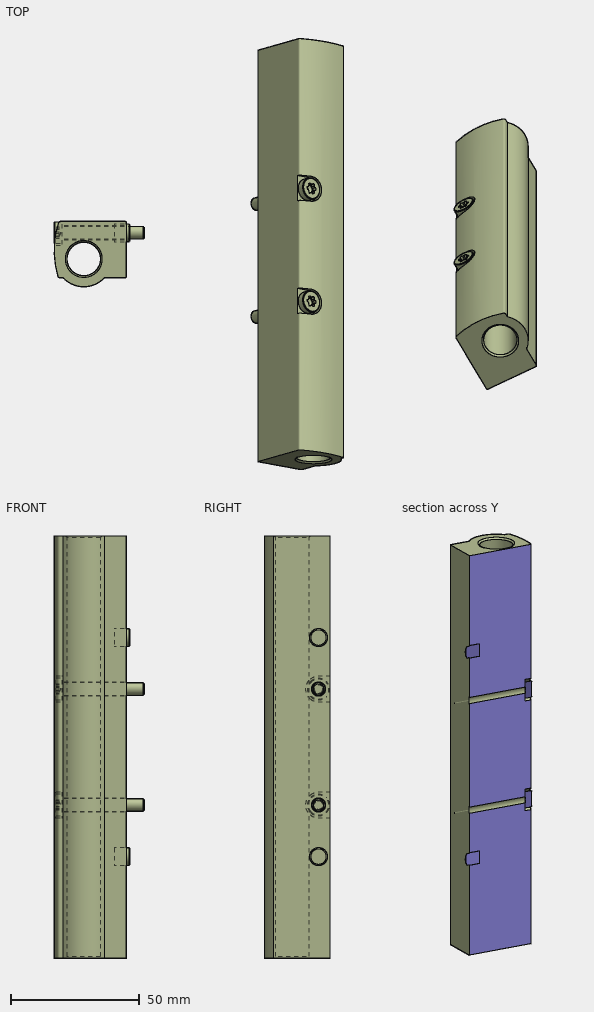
import cadquery as cq
import math

length = 164.0
width = 28.0
depth = 25.5
flat_height = 3.5
crown_radius = 35.0
crown_y = 14.0
corner_radius = 0.5
back_radius = 0.8
nose_radius = 1.0

bore_x = 11.5
bore_y = 10.85
bore_diameter = 12.92
bore_mouth_diameter = 14.3
bore_chamfer = (bore_mouth_diameter - bore_diameter) / 2
bulge_radius = bore_y

fastener_inset = 4.5
fastener_y = depth - fastener_inset
mid_z = length / 2
screw_spacing = 45.0
plug_spacing = 85.0

screw_diameter = 5.0
screw_hole_diameter = 5.5
screw_end_x = 35.0
tip_chamfer = 0.5
head_diameter = 8.5
head_height = 3.0
head_chamfer = 0.3
pocket_width = 10.0

lobe_count = 6
socket_diameter = 4.4
lobe_radius = 0.55
socket_depth = 1.8
socket_point = 0.8

plug_diameter = 7.0
plug_stand_out = 1.5
plug_embed = 4.5
plug_chamfer = 0.5


def crown_x(y):
    """X of the curved side at a given Y."""
    return crown_radius - math.sqrt(crown_radius**2 - (y - crown_y) ** 2)


def fastener_heights(spacing):
    return [mid_z - spacing / 2, mid_z + spacing / 2]


def rod(diameter, start_x, end_x, z):
    """Round rod along X on the common fastener line."""
    return (
        cq.Workplane("YZ", origin=(start_x, fastener_y, z))
        .circle(diameter / 2)
        .extrude(end_x - start_x)
    )


def make_profile():
    bulge_half = math.sqrt(bulge_radius**2 - (bore_y - flat_height) ** 2)
    block = (
        cq.Workplane("XY")
        .moveTo(crown_x(flat_height), flat_height)
        .lineTo(width, flat_height)
        .lineTo(width, depth)
        .lineTo(crown_x(depth), depth)
        .threePointArc((0, crown_y), (crown_x(flat_height), flat_height))
        .close()
        .extrude(length)
    )
    block = block.edges("|Z and >X").fillet(corner_radius)
    block = block.edges("|Z").edges(">Y").edges("<X").fillet(back_radius)
    nose = cq.selectors.NearestToPointSelector((crown_x(flat_height), flat_height, mid_z))
    block = block.edges(nose).fillet(nose_radius)
    bulge = (
        cq.Workplane("XY")
        .moveTo(bore_x - bulge_half, flat_height)
        .threePointArc((bore_x, 0), (bore_x + bulge_half, flat_height))
        .lineTo(bore_x + bulge_half, bore_y)
        .lineTo(bore_x - bulge_half, bore_y)
        .close()
        .extrude(length)
    )
    return block.union(bulge)


def bore_cutter():
    """Bore with a 45 degree countersink at both ends."""
    bore_radius = bore_diameter / 2
    mouth_radius = bore_mouth_diameter / 2
    return (
        cq.Workplane("XZ")
        .lineTo(mouth_radius, 0)
        .lineTo(bore_radius, bore_chamfer)
        .lineTo(bore_radius, length - bore_chamfer)
        .lineTo(mouth_radius, length)
        .lineTo(0, length)
        .close()
        .revolve(360, (0, 0, 0), (0, 1, 0))
        .translate((bore_x, bore_y, 0))
    )


def head_pocket(z):
    round_end = rod(pocket_width, 0, head_height, z)
    open_side = cq.Workplane("XY").box(
        head_height, fastener_inset, pocket_width, centered=(False, False, True)
    )
    return round_end.union(open_side.translate((0, fastener_y, z)))


def make_bar():
    bar = make_profile().cut(bore_cutter())
    for z in fastener_heights(screw_spacing):
        bar = bar.cut(head_pocket(z))
        bar = bar.cut(rod(screw_hole_diameter, 0, width, z))
    for z in fastener_heights(plug_spacing):
        bar = bar.cut(rod(plug_diameter, width - plug_embed, width, z))
    return bar


def star_socket(z):
    lobe_circle = socket_diameter / 2 - lobe_radius
    face = cq.Workplane("YZ", origin=(0, fastener_y, z))
    core = face.circle(lobe_circle).extrude(socket_depth)
    lobes = face.polarArray(lobe_circle, 0, 360, lobe_count).circle(lobe_radius).extrude(socket_depth)
    cone = cq.Solid.makeCone(
        lobe_circle, 0, socket_point, pnt=cq.Vector(socket_depth, fastener_y, z), dir=cq.Vector(1, 0, 0)
    )
    return core.union(lobes).union(cq.Workplane(cone))


def make_screw(z):
    head = rod(head_diameter, 0, head_height, z).faces("<X").chamfer(head_chamfer)
    shank = rod(screw_diameter, head_height, screw_end_x, z).faces(">X").chamfer(tip_chamfer)
    return head.union(shank).cut(star_socket(z))


def make_plug(z):
    plug = rod(plug_diameter, width - plug_embed, width + plug_stand_out, z)
    return plug.faces(">X").chamfer(plug_chamfer)


bar = make_bar()
screws = [make_screw(z) for z in fastener_heights(screw_spacing)]
plugs = [make_plug(z) for z in fastener_heights(plug_spacing)]

bodies = [bar, *screws, *plugs]
result = cq.Compound.makeCompound([body.val() for body in bodies])